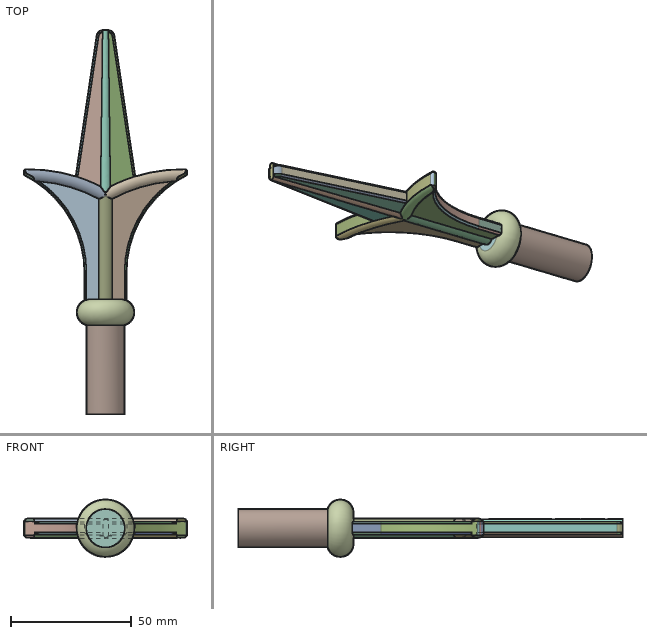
import cadquery as cq

total_length = 160.0
wing_span = 68.0

pin_diameter = 16.0
collar_diameter = 24.0
collar_start = 37.0
collar_end = 48.0

plate_thickness = 5.3
edge_chamfer = 0.88

blade_root = 91.2
blade_root_half_width = 13.6
blade_tip_half_width = 3.4
blade_tip_rounding = 2.9
blade_ridge_thickness = 7.7
blade_ridge_root_half_width = 2.0
blade_ridge_tip_half_width = 1.2

stem_half_width = 8.8
stem_straight_end = 59.2
wing_tip_low = 99.7
wing_tip_corner = 1.1
wing_top_center_x = 32.0
wing_top_center_y = 36.0
wing_top_radius = 66.0
ridge_thickness = 8.2
stem_ridge_half_width = 2.7
wing_ridge_width = 5.0

half_span = wing_span / 2
half_plate = plate_thickness / 2
wing_ridge_half_width = wing_ridge_width / 2
collar_middle = (collar_start + collar_end) / 2


def height_on_wing_top(x):
    """Y of the upper wing arc at a distance x from the centre line."""
    return wing_top_center_y + (wing_top_radius**2 - (x - wing_top_center_x) ** 2) ** 0.5


def ridge_section(plane, half_width, thickness, center=0.0):
    """Section that is symmetric about Z = 0, with a round crest above and below the plate."""
    left = center - half_width
    right = center + half_width
    crest = thickness / 2
    return (
        plane.moveTo(left, -half_plate)
        .lineTo(left, half_plate)
        .threePointArc((center, crest), (right, half_plate))
        .lineTo(right, -half_plate)
        .threePointArc((center, -crest), (left, -half_plate))
        .close()
    )


def slab(outline, thickness):
    return outline.extrude(thickness / 2, both=True)


def make_blade():
    outline = cq.Workplane("XY").polyline(
        [
            (-blade_root_half_width, blade_root),
            (blade_root_half_width, blade_root),
            (blade_tip_half_width, total_length),
            (-blade_tip_half_width, total_length),
        ]
    ).close()
    plate = slab(outline, plate_thickness)
    plate = plate.edges("|Z and >Y").fillet(blade_tip_rounding)
    plate = plate.faces("<Z or >Z").chamfer(edge_chamfer)

    root = ridge_section(
        cq.Workplane("XZ", origin=(0, blade_root, 0)), blade_ridge_root_half_width, blade_ridge_thickness
    )
    tip = ridge_section(
        root.workplane(offset=blade_root - total_length), blade_ridge_tip_half_width, blade_ridge_thickness
    )
    return plate.union(tip.loft(ruled=True))


def wing_outline():
    """Right half of the wings and stem, cut along the centre line."""
    top_inner = height_on_wing_top(0)
    top_outer = height_on_wing_top(half_span)
    top_middle_x = half_span / 2
    return (
        cq.Workplane("XY")
        .moveTo(0, collar_middle)
        .lineTo(stem_half_width, collar_middle)
        .lineTo(stem_half_width, stem_straight_end)
        .tangentArcPoint((half_span, wing_tip_low), relative=False)
        .lineTo(half_span, top_outer)
        .threePointArc((top_middle_x, height_on_wing_top(top_middle_x)), (0, top_inner))
        .close()
    )


def wing_slab(thickness):
    """Wing outline at a given thickness, with the two corners of its tip rounded."""
    return slab(wing_outline(), thickness).faces(">X").edges("|Z").fillet(wing_tip_corner)


def make_wing():
    plate = wing_slab(plate_thickness)
    plate = plate.faces("not(<X or |Z)").edges("not(|Z)").chamfer(edge_chamfer)

    ridge = ridge_section(
        cq.Workplane("XZ", origin=(wing_top_center_x, wing_top_center_y, 0)),
        wing_ridge_half_width,
        ridge_thickness,
        wing_top_radius - wing_ridge_half_width,
    ).revolve(360, (0, 0, 0), (0, 1, 0))
    envelope = wing_slab(ridge_thickness)
    envelope = envelope.faces(">X").edges("|Y").chamfer(wing_tip_corner)
    return plate.union(ridge.intersect(envelope))


def make_stem_ridge():
    crest_junction = height_on_wing_top(0) - wing_ridge_half_width
    section = ridge_section(
        cq.Workplane("XZ", origin=(0, collar_middle, 0)), stem_ridge_half_width, ridge_thickness
    )
    return section.extrude(collar_middle - crest_junction)


def make_pin_and_collar():
    pin = cq.Workplane("XZ").circle(pin_diameter / 2).extrude(-collar_middle)
    collar_rounding = (collar_end - collar_start) / 2
    rim_center = collar_diameter / 2 - collar_rounding
    collar = (
        cq.Workplane("XY")
        .moveTo(0, collar_start)
        .lineTo(rim_center, collar_start)
        .threePointArc((collar_diameter / 2, collar_middle), (rim_center, collar_end))
        .lineTo(0, collar_end)
        .close()
        .revolve(360, (0, 0, 0), (0, 1, 0))
    )
    return pin.union(collar)


right_wing = make_wing()
left_wing = right_wing.mirror("YZ")
result = (
    make_pin_and_collar()
    .union(right_wing)
    .union(left_wing)
    .union(make_stem_ridge())
    .union(make_blade())
)